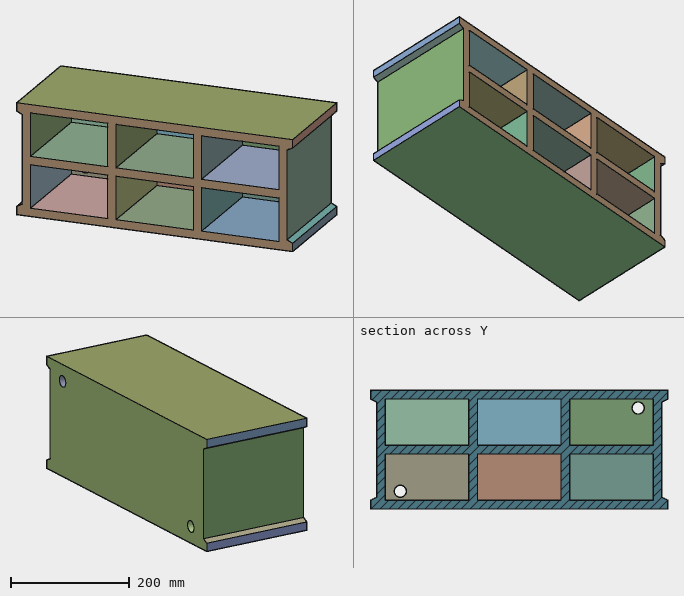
import cadquery as cq

length = 500.0
depth = 200.0
height = 200.0

wall = 15.0
columns = 3
rows = 2
flange_overhang = 10.0
flange_taper = 5.0
body_length = length - 2 * flange_overhang
cell_width = (body_length - (columns + 1) * wall) / columns
cell_height = (height - (rows + 1) * wall) / rows
cell_depth = depth - wall

hole_diameter = 20.0
hole_x = 200.0
hole_z = 70.0


def make_body():
    """Block with top and bottom flanges tapering into the recessed ends."""
    half_length = length / 2
    half_body = body_length / 2
    flange_z = height / 2 - wall
    taper_z = flange_z - flange_taper
    right_end = [
        (half_length, -height / 2),
        (half_length, -flange_z),
        (half_body, -taper_z),
        (half_body, taper_z),
        (half_length, flange_z),
        (half_length, height / 2),
    ]
    left_end = [(-x, z) for x, z in reversed(right_end)]
    profile = cq.Workplane("XZ").polyline(right_end + left_end).close()
    return profile.extrude(depth / 2, both=True)


def make_compartments():
    """Grid of rectangular pockets open at the -Y face."""
    return (
        cq.Workplane("XZ", origin=(0, -depth / 2, 0))
        .rarray(cell_width + wall, cell_height + wall, columns, rows)
        .rect(cell_width, cell_height)
        .extrude(-cell_depth)
    )


def make_holes():
    """Round cutters spanning the full depth of the block."""
    return (
        cq.Workplane("XZ")
        .pushPoints([(hole_x, hole_z), (-hole_x, -hole_z)])
        .circle(hole_diameter / 2)
        .extrude(depth / 2, both=True)
    )


result = make_body().cut(make_compartments()).cut(make_holes())